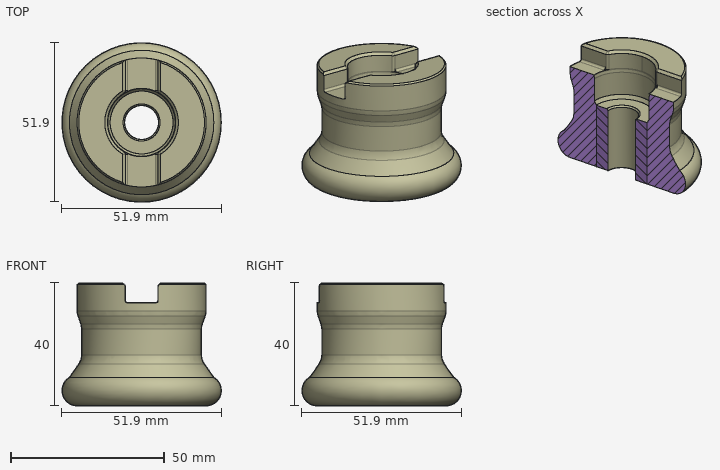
import cadquery as cq
import math

outer_radius = 25.95
height = 40.0

rim_round = 5.0
rim_centre_radius = outer_radius - rim_round
rim_top_radius = 23.5

neck_radius = 39.0 / 2
neck_bottom = 15.0
neck_top = 25.85
collar_radius = 42.0 / 2
collar_bottom = 30.05
profile_blend = 5.0
collar_chamfer = 0.5

slot_width = 10.6
slot_depth = 6.4
slot_floor = height - slot_depth
slot_floor_fillet = 0.8
slot_fillet_start = 10.5
jaw_corner_fillet = 1.05
jaw_chamfer = 0.9

bore_radius = 22.2 / 2
bore_taper_top = 33.4
lower_bore_radius = 22.0 / 2
bore_taper_bottom = 32.25
seat_top = 24.1
bush_radius = 10.25
seat_height = 1.35
bush_top = seat_top - seat_height

through_radius = 11.0 / 2
through_chamfer = 0.5


def make_housing_blank():
    """Turned outside shape, without slot or holes."""
    rim_top = rim_round + math.sqrt(rim_round**2 - (rim_top_radius - rim_centre_radius) ** 2)
    blank = (
        cq.Workplane("XZ")
        .lineTo(rim_centre_radius, 0)
        .threePointArc((outer_radius, rim_round), (rim_top_radius, rim_top))
        .lineTo(neck_radius, neck_bottom)
        .lineTo(neck_radius, neck_top)
        .lineTo(collar_radius, collar_bottom)
        .lineTo(collar_radius, height - collar_chamfer)
        .lineTo(collar_radius - collar_chamfer, height)
        .lineTo(0, height)
        .close()
        .revolve(360, (0, 0, 0), (0, 1, 0))
    )
    corner_heights = (neck_bottom, neck_top, collar_bottom)
    corners = blank.edges("%CIRCLE").filter(
        lambda edge: any(abs(edge.Center().z - level) < 0.005 for level in corner_heights)
    )
    return corners.fillet(profile_blend)


def make_bore():
    """Space of the bore: a slight taper, then a steep conical seat down to the bush."""
    return (
        cq.Workplane("XZ")
        .lineTo(bush_radius, 0)
        .lineTo(bush_radius, bush_top)
        .lineTo(lower_bore_radius, seat_top)
        .lineTo(lower_bore_radius, bore_taper_bottom)
        .lineTo(bore_radius, bore_taper_top)
        .lineTo(bore_radius, height)
        .lineTo(0, height)
        .close()
        .revolve(360, (0, 0, 0), (0, 1, 0))
    )


def make_jaws():
    """Two ring segments on either side of the slot, oversized on the outside."""
    block = cq.Workplane("XY", origin=(0, 0, slot_floor)).circle(outer_radius).extrude(slot_depth)
    slot = (
        cq.Workplane("XY", origin=(0, 0, slot_floor))
        .rect(slot_width, 2 * outer_radius)
        .extrude(slot_depth)
    )
    bore = cq.Workplane("XY", origin=(0, 0, slot_floor)).circle(bore_radius).extrude(slot_depth)
    jaws = block.cut(slot).cut(bore)
    inner_corners = jaws.edges("|Z").filter(lambda edge: abs(edge.Center().y) < bore_radius)
    jaws = inner_corners.fillet(jaw_corner_fillet)
    inner_rims = jaws.faces(">Z").edges().filter(
        lambda edge: edge.geomType() != "CIRCLE" or edge.radius() < outer_radius - 0.005
    )
    return inner_rims.chamfer(jaw_chamfer)


def make_slot_fillets():
    """Concave rounds between the slot floor and the jaws, ending short of the bore."""
    half_width = slot_width / 2
    inset = slot_floor_fillet * (1 - math.sqrt(0.5))
    strip = (
        cq.Workplane("XZ", origin=(0, outer_radius, 0))
        .moveTo(half_width, slot_floor)
        .lineTo(half_width, slot_floor + slot_floor_fillet)
        .threePointArc(
            (half_width - inset, slot_floor + inset),
            (half_width - slot_floor_fillet, slot_floor),
        )
        .close()
        .extrude(outer_radius - slot_fillet_start)
    )
    pair = strip.union(strip.mirror("YZ"))
    return pair.union(pair.mirror("XZ"))


def make_slot_cutter():
    """The space between the jaws: everything above the slot floor that they leave free."""
    space = cq.Workplane("XY", origin=(0, 0, slot_floor)).circle(outer_radius).extrude(slot_depth)
    return space.cut(make_jaws()).cut(make_slot_fillets())


def make_housing():
    """Turned housing with the slot and the stepped bore."""
    return make_housing_blank().cut(make_slot_cutter()).cut(make_bore())


def make_bush():
    """Thick bush with a through hole, chamfered at the top of the hole."""
    bush = cq.Workplane("XY").circle(bush_radius).circle(through_radius).extrude(bush_top)
    hole_rim = bush.faces(">Z").edges(cq.selectors.RadiusNthSelector(0))
    return hole_rim.chamfer(through_chamfer)


housing = make_housing()
bush = make_bush()

result = cq.Compound.makeCompound([housing.val(), bush.val()])